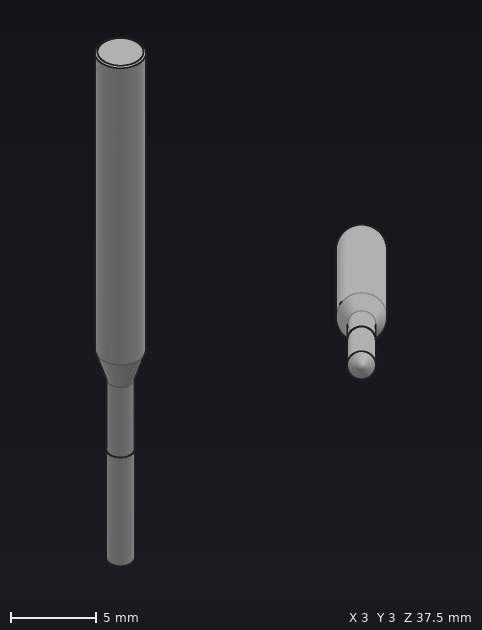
import cadquery as cq

total_length = 37.5
shank_diameter = 3.0
top_chamfer_width = 0.15
top_chamfer_height = 0.08

taper_top = 15.75
taper_bottom = 13.6
joint_height = 8.48
shoulder_height = 0.52

neck_diameter = 1.65
head_diameter = 1.7


def make_shank():
    """Revolve the chamfered shank, its taper and the slim neck."""
    shank_radius = shank_diameter / 2
    neck_radius = neck_diameter / 2
    return (
        cq.Workplane("XZ")
        .moveTo(0, joint_height)
        .lineTo(neck_radius, joint_height)
        .lineTo(neck_radius, taper_bottom)
        .lineTo(shank_radius, taper_top)
        .lineTo(shank_radius, total_length - top_chamfer_height)
        .lineTo(shank_radius - top_chamfer_width, total_length)
        .lineTo(0, total_length)
        .close()
        .revolve(360, (0, 0, 0), (0, 1, 0))
    )


def make_cutting_head():
    """Revolve the cylindrical head with its conical point."""
    head_radius = head_diameter / 2
    return (
        cq.Workplane("XZ")
        .lineTo(head_radius, shoulder_height)
        .lineTo(head_radius, joint_height)
        .lineTo(0, joint_height)
        .close()
        .revolve(360, (0, 0, 0), (0, 1, 0))
    )


shank = make_shank()
cutting_head = make_cutting_head()

result = cq.Compound.makeCompound([shank.val(), cutting_head.val()])